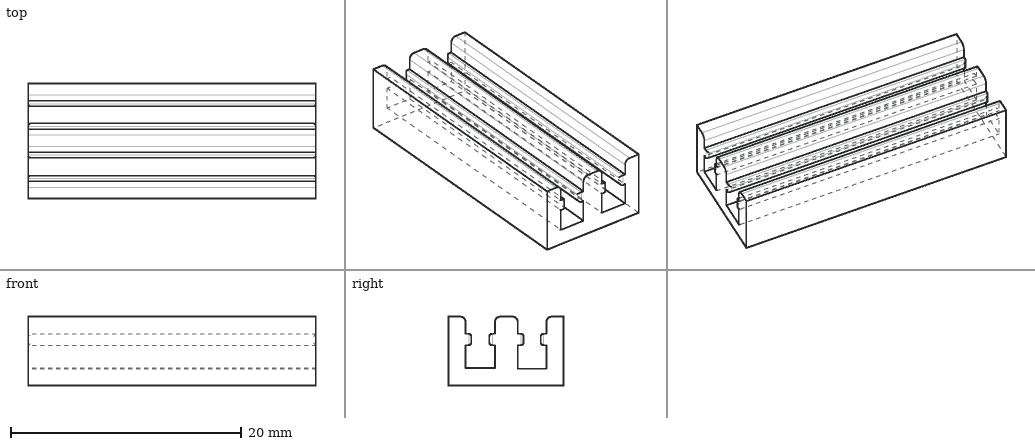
import cadquery as cq

LENGTH = 25.0
WIDTH = 10.0
HEIGHT = 6.0

SIDE_WALL = 1.5
CENTRE_WALL = 2.0
CENTRE_WALL_Y = 0.035
FRONT_FLOOR = 1.53
BACK_FLOOR = 1.48
RIM_RADIUS = 0.5

RIB_REACH = 0.5
RIB_HEIGHT = 1.0
RIB_BOTTOM = 3.5
RIB_RADIUS = 0.25

SIDE_WALL_Y = WIDTH / 2 - SIDE_WALL
CENTRE_WALL_FRONT = CENTRE_WALL_Y - CENTRE_WALL / 2
CENTRE_WALL_BACK = CENTRE_WALL_Y + CENTRE_WALL / 2

CHANNELS = (
    (-SIDE_WALL_Y, CENTRE_WALL_FRONT, FRONT_FLOOR),
    (CENTRE_WALL_BACK, SIDE_WALL_Y, BACK_FLOOR),
)


def box_between(y_min, y_max, z_min, z_max):
    """Full-length bar spanning the given Y and Z ranges."""
    return (
        cq.Workplane("XY", origin=(0, y_min, z_min))
        .box(LENGTH, y_max - y_min, z_max - z_min, centered=(True, False, False))
    )


def round_rims(body):
    """Round the long top edges of the channels, leaving the outer edges sharp."""
    inner_top_edges = cq.selectors.BoxSelector(
        (-LENGTH, -WIDTH / 2 + SIDE_WALL / 2, HEIGHT - RIM_RADIUS),
        (LENGTH, WIDTH / 2 - SIDE_WALL / 2, HEIGHT + RIM_RADIUS),
    )
    return body.faces(">Z").edges("|X").edges(inner_top_edges).fillet(RIM_RADIUS)


def make_rib(wall_y, direction):
    """Snap rib reaching from a channel wall along Y, rounded all around its tip."""
    tip_y = wall_y + direction * RIB_REACH
    rib = box_between(min(wall_y, tip_y), max(wall_y, tip_y), RIB_BOTTOM, RIB_BOTTOM + RIB_HEIGHT)
    tip_face = ">Y" if direction > 0 else "<Y"
    return rib.faces(tip_face).edges().fillet(RIB_RADIUS)


result = box_between(-WIDTH / 2, WIDTH / 2, 0, HEIGHT)

for front_y, back_y, floor_z in CHANNELS:
    result = result.cut(box_between(front_y, back_y, floor_z, HEIGHT))

result = round_rims(result)

for front_y, back_y, _ in CHANNELS:
    result = result.union(make_rib(front_y, 1))
    result = result.union(make_rib(back_y, -1))